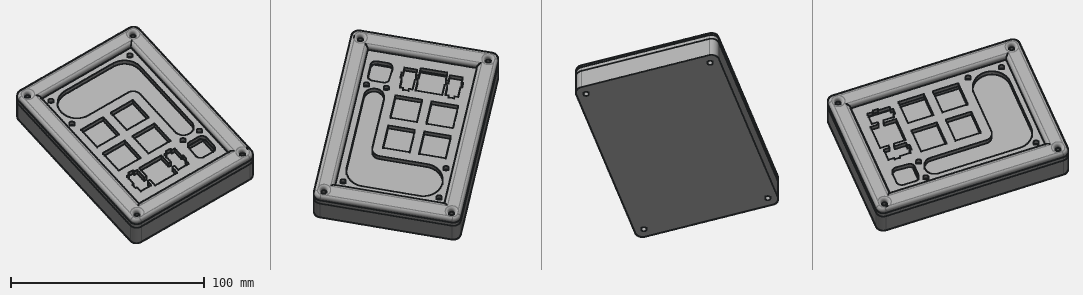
import cadquery as cq
LENGTH = 106.0
WIDTH = 77.5
HEIGHT = 19.0
CORNER_RADIUS = 4.0

FRAME_THICKNESS = 3.0
PLATE_THICKNESS = 3.0
PLATE_TOP = HEIGHT - FRAME_THICKNESS
PLATE_BOTTOM = PLATE_TOP - PLATE_THICKNESS
FLOOR_THICKNESS = 3.0
EDGE_FILLET = 2.0

OPENING_LENGTH = 86.0
WALL = (LENGTH - OPENING_LENGTH) / 2
OPENING_WIDTH = WIDTH - 2 * WALL

SCREW_DIAMETER = 2.9
SCREW_INSET = 5.1
SCREW_POINTS = [
    (side_x * (LENGTH / 2 - SCREW_INSET), side_y * (WIDTH / 2 - SCREW_INSET))
    for side_x in (-1, 1)
    for side_y in (-1, 1)
]

KEY_SIZE = 14.1
KEY_PITCH = 19.0
LEFT_KEY_X = -7.6
LOWER_KEY_Y = -16.7
TALL_KEY_X = LEFT_KEY_X + 2 * KEY_PITCH
TALL_KEY_Y = LOWER_KEY_Y + KEY_PITCH / 2

STABILIZER_OFFSET = 12.0
STABILIZER_LEFT = 6.7
STABILIZER_RIGHT = 5.7
STABILIZER_HEIGHT = 6.8
NECK_LEFT = 0.5
NECK_RIGHT = 2.4
NUB_HEIGHT = 0.8
TAB_DEPTH = 1.2
TAB_HEIGHT = 3.1

WINDOW_LEFT = -40.1
WINDOW_TOP = 25.2
WINDOW_BOTTOM = -25.2
WINDOW_END = 20.4
LEG_WIDTH = 20.0
ARM_WIDTH = 10.6
INNER_RADIUS = 4.5
LEG_RADIUS = LEG_WIDTH / 2
ARM_RADIUS = ARM_WIDTH / 2
LEG_RIGHT = WINDOW_LEFT + LEG_WIDTH
ARM_BOTTOM = WINDOW_TOP - ARM_WIDTH

MOUNT_DIAMETER = 2.9
MOUNT_LEFT = -39.1
MOUNT_RIGHT = 21.8
MOUNT_INNER_X = -20.7
MOUNT_TOP = WINDOW_TOP
MOUNT_INNER_Y = 14.7
MOUNT_BOTTOM = WINDOW_BOTTOM
MOUNT_POINTS = [
    (MOUNT_LEFT, MOUNT_TOP),
    (MOUNT_RIGHT, MOUNT_TOP),
    (MOUNT_RIGHT, MOUNT_INNER_Y),
    (MOUNT_LEFT, MOUNT_BOTTOM),
    (MOUNT_INNER_X, MOUNT_BOTTOM),
]

DISPLAY_THICKNESS = 3.0
DISPLAY_MARGIN = 2.8

KNOB_LEFT = 24.8
KNOB_RIGHT = 37.1
KNOB_TOP = 25.5
KNOB_LOWER_LEFT = 14.4
KNOB_LOWER_RIGHT = 13.8
KNOB_UPPER_RADIUS = 3.0
KNOB_LOWER_LEFT_RADIUS = 2.5
KNOB_LOWER_RIGHT_RADIUS = 3.1


def rounded_slab(bottom, height):
    """Full-size slab of the enclosure with rounded vertical corners."""
    slab = cq.Workplane("XY").workplane(offset=bottom).rect(LENGTH, WIDTH).extrude(height)
    return slab.edges("|Z").fillet(CORNER_RADIUS)


def opening_block(bottom):
    """Cutter for the rectangular opening, upward from the given height."""
    return cq.Workplane("XY").workplane(offset=bottom).rect(OPENING_LENGTH, OPENING_WIDTH).extrude(HEIGHT)


def box_between(left, right, low, high, bottom, height):
    """Box given by its left, right, lower and upper limits in plan."""
    box = cq.Workplane("XY").box(right - left, high - low, height, centered=False)
    return box.translate((left, low, bottom))


def posts(points, diameter, bottom, height):
    """Cylinders used to cut holes at the given points."""
    return cq.Workplane("XY").workplane(offset=bottom).pushPoints(points).circle(diameter / 2).extrude(height)


def drill_screw_holes(slab):
    return slab.cut(posts(SCREW_POINTS, SCREW_DIAMETER, 0, HEIGHT))


def screw_mouth(point):
    """Cutter that rounds the upper rim of a screw hole."""
    hole_radius = SCREW_DIAMETER / 2
    mouth_radius = hole_radius + EDGE_FILLET
    profile = (
        cq.Workplane("XZ")
        .moveTo(0, HEIGHT - EDGE_FILLET)
        .lineTo(hole_radius, HEIGHT - EDGE_FILLET)
        .radiusArc((mouth_radius, HEIGHT), EDGE_FILLET)
        .lineTo(0, HEIGHT)
        .close()
    )
    return profile.revolve(360, (0, 0, 0), (0, 1, 0)).translate((*point, 0))


def build_case():
    case = rounded_slab(0, PLATE_BOTTOM).cut(opening_block(FLOOR_THICKNESS))
    return drill_screw_holes(case)


def build_frame():
    frame = rounded_slab(PLATE_TOP, FRAME_THICKNESS).cut(opening_block(PLATE_TOP))
    frame = frame.faces(">Z").edges().fillet(EDGE_FILLET)
    frame = drill_screw_holes(frame)
    for point in SCREW_POINTS:
        frame = frame.cut(screw_mouth(point))
    return frame


def display_window():
    """L-shaped cutter with round ends."""
    return (
        cq.Workplane("XY")
        .workplane(offset=PLATE_BOTTOM)
        .moveTo(WINDOW_LEFT, WINDOW_BOTTOM + LEG_RADIUS)
        .lineTo(WINDOW_LEFT, WINDOW_TOP - LEG_RADIUS)
        .radiusArc((WINDOW_LEFT + LEG_RADIUS, WINDOW_TOP), LEG_RADIUS)
        .lineTo(WINDOW_END - ARM_RADIUS, WINDOW_TOP)
        .threePointArc((WINDOW_END, WINDOW_TOP - ARM_RADIUS), (WINDOW_END - ARM_RADIUS, ARM_BOTTOM))
        .lineTo(LEG_RIGHT + INNER_RADIUS, ARM_BOTTOM)
        .radiusArc((LEG_RIGHT, ARM_BOTTOM - INNER_RADIUS), -INNER_RADIUS)
        .lineTo(LEG_RIGHT, WINDOW_BOTTOM + LEG_RADIUS)
        .threePointArc((LEG_RIGHT - LEG_RADIUS, WINDOW_BOTTOM), (WINDOW_LEFT, WINDOW_BOTTOM + LEG_RADIUS))
        .close()
        .extrude(PLATE_THICKNESS)
    )


def plate_cutter(left, right, low, high):
    return box_between(left, right, low, high, PLATE_BOTTOM, PLATE_THICKNESS)


def key_opening(x, y):
    half = KEY_SIZE / 2
    return plate_cutter(x - half, x + half, y - half, y + half)


def stabilizer_opening():
    """Tall key opening joined by necks to a stabilizer opening above and below it."""
    half_height = STABILIZER_HEIGHT / 2
    left = TALL_KEY_X - STABILIZER_LEFT
    right = TALL_KEY_X + STABILIZER_RIGHT
    reach = STABILIZER_OFFSET + half_height + NUB_HEIGHT
    opening = key_opening(TALL_KEY_X, TALL_KEY_Y)
    necks = plate_cutter(
        TALL_KEY_X - NECK_LEFT, TALL_KEY_X + NECK_RIGHT, TALL_KEY_Y - reach, TALL_KEY_Y + reach
    )
    opening = opening.union(necks)
    for side in (-1, 1):
        y = TALL_KEY_Y + side * STABILIZER_OFFSET
        body = plate_cutter(left, right, y - half_height, y + half_height)
        tab = plate_cutter(left - TAB_DEPTH, left, y - TAB_HEIGHT / 2, y + TAB_HEIGHT / 2)
        opening = opening.union(body).union(tab)
    return opening


def knob_opening():
    corners = [
        (KNOB_LEFT, KNOB_LOWER_LEFT, KNOB_LOWER_LEFT_RADIUS),
        (KNOB_RIGHT, KNOB_LOWER_RIGHT, KNOB_LOWER_RIGHT_RADIUS),
        (KNOB_RIGHT, KNOB_TOP, KNOB_UPPER_RADIUS),
        (KNOB_LEFT, KNOB_TOP, KNOB_UPPER_RADIUS),
    ]
    outline = [(x, y) for x, y, _ in corners]
    base = cq.Workplane("XY").workplane(offset=PLATE_BOTTOM)
    opening = base.polyline(outline).close().extrude(PLATE_THICKNESS)
    middle_height = PLATE_BOTTOM + PLATE_THICKNESS / 2
    for x, y, radius in corners:
        corner_edge = cq.NearestToPointSelector((x, y, middle_height))
        opening = opening.edges("|Z").edges(corner_edge).fillet(radius)
    return opening


def build_plate():
    plate = drill_screw_holes(rounded_slab(PLATE_BOTTOM, PLATE_THICKNESS))
    plate = plate.cut(display_window())
    plate = plate.cut(posts(MOUNT_POINTS, MOUNT_DIAMETER, PLATE_BOTTOM, PLATE_THICKNESS))
    for column in range(2):
        for row in range(2):
            plate = plate.cut(key_opening(LEFT_KEY_X + column * KEY_PITCH, LOWER_KEY_Y + row * KEY_PITCH))
    return plate.cut(stabilizer_opening()).cut(knob_opening())


def build_display():
    """L-shaped panel that closes the display window from below and backs the mounting holes."""
    left = MOUNT_LEFT - DISPLAY_MARGIN
    right = MOUNT_RIGHT + DISPLAY_MARGIN
    top = MOUNT_TOP + DISPLAY_MARGIN
    bottom = MOUNT_BOTTOM - DISPLAY_MARGIN
    leg_right = MOUNT_INNER_X + DISPLAY_MARGIN
    arm_bottom = MOUNT_INNER_Y - DISPLAY_MARGIN
    underside = PLATE_BOTTOM - DISPLAY_THICKNESS
    leg = box_between(left, leg_right, bottom, top, underside, DISPLAY_THICKNESS)
    arm = box_between(left, right, arm_bottom, top, underside, DISPLAY_THICKNESS)
    return leg.union(arm)


case = build_case()
display = build_display()
plate = build_plate()
frame = build_frame()

result = cq.Compound.makeCompound([case.val(), display.val(), plate.val(), frame.val()])